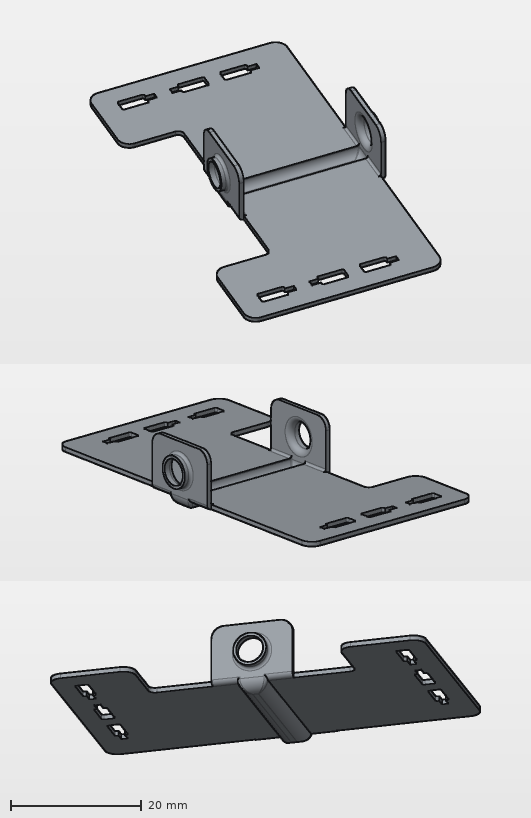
import cadquery as cq

sheet = 0.8
plate_width = 60.0
plate_back = 11.6
plate_front = -21.5
notch_half_width = 16.5
notch_back = -plate_back
plate_corner_radius = 2.0
notch_corner_radius = 1.0

tab_width = 13.0
tab_top = 9.5
tab_corner_radius = 2.0
tab_inner_face = plate_back
tab_outer_face = tab_inner_face + sheet
bend_inner_radius = 0.4
bend_outer_radius = sheet

hole_height = 4.75
hole_radius = 2.15
collar_radius = 2.65
collar_length = 1.2
collar_root_radius = 0.5
hole_mouth_radius = 1.05

bead_depth = 1.5
bead_inner_half_width = 1.65
bead_outer_half_width = bead_inner_half_width + sheet
bead_inner_radius = 1.35
bead_outer_radius = 2.0
bead_inner_mitre_radius = 0.1
bead_outer_mitre_radius = 0.5

slot_x = 25.7
slot_body_width = 2.1
slot_neck_width = 1.0
slot_length = 6.0
slot_neck_length = 1.5
slot_corner_radius = 0.3
slot_pitch = 8.65
middle_slot_y = -6.1


def make_plate():
    """Flat plate with a wide notch in its front edge."""
    half_width = plate_width / 2
    plate = (
        cq.Workplane("XY")
        .moveTo(-half_width, plate_back)
        .lineTo(half_width, plate_back)
        .lineTo(half_width, plate_front)
        .lineTo(notch_half_width, plate_front)
        .lineTo(notch_half_width, notch_back)
        .lineTo(-notch_half_width, notch_back)
        .lineTo(-notch_half_width, plate_front)
        .lineTo(-half_width, plate_front)
        .close()
        .extrude(sheet)
    )
    notch_corners = cq.selectors.BoxSelector(
        (-plate_width, notch_back - sheet, -sheet),
        (plate_width, notch_back + sheet, 2 * sheet),
    )
    outer_corners = cq.selectors.SubtractSelector(cq.StringSyntaxSelector("|Z"), notch_corners)
    plate = plate.edges(outer_corners).fillet(plate_corner_radius)
    return plate.edges("|Z").edges(notch_corners).fillet(notch_corner_radius)


def make_slot(center_y, neck_direction):
    """Cutter for one keyed slot; the neck points along +Y or -Y."""
    body_length = slot_length - slot_neck_length
    body_y = center_y - neck_direction * slot_neck_length / 2
    body = (
        cq.Workplane("XY")
        .center(0, body_y)
        .rect(slot_body_width, body_length)
        .extrude(sheet)
        .edges("|Z")
        .fillet(slot_corner_radius)
    )
    neck = (
        cq.Workplane("XY")
        .center(0, center_y + neck_direction * slot_length / 4)
        .rect(slot_neck_width, slot_length / 2)
        .extrude(sheet)
    )
    return body.union(neck)


def cut_slots(plate):
    """Three slots down each side, with the middle one reversed."""
    for row in (-1, 0, 1):
        neck_direction = -1 if row == 0 else 1
        slot = make_slot(middle_slot_y + row * slot_pitch, neck_direction)
        for side in (-1, 1):
            plate = plate.cut(slot.translate((side * slot_x, 0, 0)))
    return plate


def make_tab():
    """Back tab: upright sheet with a rounded fold at its foot."""
    fold_side = (
        cq.Workplane("YZ")
        .moveTo(tab_inner_face - bend_inner_radius, 0)
        .lineTo(tab_outer_face - bend_outer_radius, 0)
        .radiusArc((tab_outer_face, bend_outer_radius), -bend_outer_radius)
        .lineTo(tab_outer_face, tab_top)
        .lineTo(tab_inner_face, tab_top)
        .lineTo(tab_inner_face, sheet + bend_inner_radius)
        .radiusArc((tab_inner_face - bend_inner_radius, sheet), bend_inner_radius)
        .close()
        .extrude(tab_width / 2, both=True)
    )
    return fold_side.edges("|Y and >Z").fillet(tab_corner_radius)


def revolve_about_hole(profile):
    """Turn a (radius, Y) profile about the hole axis, then lift it to the hole."""
    return profile.close().revolve(360, (0, 0), (0, 1)).translate((0, 0, hole_height))


def make_collar():
    """Drawn collar with a flared root on the outer face of the back tab."""
    collar_end = tab_outer_face + collar_length
    profile = (
        cq.Workplane("XY")
        .moveTo(0, tab_inner_face)
        .lineTo(collar_radius + collar_root_radius, tab_inner_face)
        .lineTo(collar_radius + collar_root_radius, tab_outer_face)
        .radiusArc((collar_radius, tab_outer_face + collar_root_radius), collar_root_radius)
        .lineTo(collar_radius, collar_end)
        .lineTo(0, collar_end)
    )
    return revolve_about_hole(profile)


def make_hole():
    """Cutter for the hole, with a rounded mouth on the inner face of the back tab."""
    collar_end = tab_outer_face + collar_length
    profile = (
        cq.Workplane("XY")
        .moveTo(0, tab_inner_face)
        .lineTo(hole_radius + hole_mouth_radius, tab_inner_face)
        .radiusArc((hole_radius, tab_inner_face + hole_mouth_radius), hole_mouth_radius)
        .lineTo(hole_radius, collar_end)
        .lineTo(0, collar_end)
    )
    return revolve_about_hole(profile)


def round_bottom_bar(plane, half_width, corner_radius, bottom, top, half_length):
    """Bar with rounded lower corners, centred on the plane it is drawn on."""
    return (
        cq.Workplane(plane)
        .moveTo(-half_width, top)
        .lineTo(-half_width, bottom + corner_radius)
        .radiusArc((-half_width + corner_radius, bottom), -corner_radius)
        .lineTo(half_width - corner_radius, bottom)
        .radiusArc((half_width, bottom + corner_radius), -corner_radius)
        .lineTo(half_width, top)
        .close()
        .extrude(half_length, both=True)
    )


def make_trough(half_width, radius, mitre_radius, end_face, bottom, top):
    """Trough shape whose sides and ends round up from the bottom and meet in softened mitres."""
    across = round_bottom_bar("XZ", half_width, radius, bottom, top, end_face)
    along = round_bottom_bar("YZ", end_face, radius, bottom, top, half_width)
    trough = across.intersect(along)
    return trough.edges("|Z or (not %LINE)").fillet(mitre_radius)


def build_part():
    part = cut_slots(make_plate())
    tab = make_tab().union(make_collar()).cut(make_hole())
    part = part.union(tab).union(tab.mirror("XZ"))
    bead_shell = make_trough(
        bead_outer_half_width,
        bead_outer_radius,
        bead_outer_mitre_radius,
        tab_outer_face,
        -bead_depth,
        sheet,
    )
    bead_hollow = make_trough(
        bead_inner_half_width,
        bead_inner_radius,
        bead_inner_mitre_radius,
        tab_inner_face,
        sheet - bead_depth,
        sheet + bend_inner_radius,
    )
    return part.union(bead_shell).cut(bead_hollow)


result = build_part()